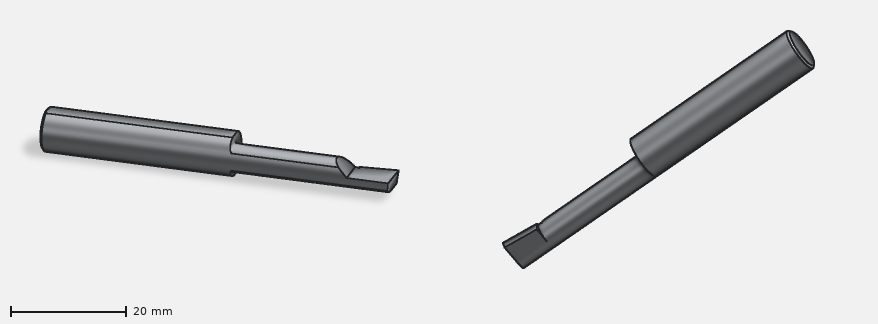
import math

import cadquery as cq

shank_diameter = 7.93
shank_radius = shank_diameter / 2
shank_length = 34.3
shank_chamfer = 0.4
flat_height = 3.685

total_length = 63.5
neck_radius = 2.54
neck_back = 0.87
neck_center_y = neck_back - neck_radius
root_fillet = 0.6

rake_height = 0.0
rake_start = 55.85
ramp_angle = 45.0
head_start = 56.6
head_root_y = 1.17
tip_y = 1.82
end_lead_angle = 1.5
end_relief_angle = 8.0


def round_bar(radius, center_y, start, end):
    """Cylinder along X from start to end, with its axis at z = 0."""
    plane = cq.Workplane("YZ", origin=(start, center_y, 0))
    return plane.circle(radius).extrude(end - start)


def make_shank():
    bar = round_bar(shank_radius, 0, 0, shank_length).faces("<X").chamfer(shank_chamfer)
    flat_cut = (
        cq.Workplane("XY", origin=(0, 0, flat_height))
        .rect(2 * shank_length, shank_diameter)
        .extrude(shank_radius)
    )
    return bar.cut(flat_cut)


def make_neck():
    """Neck bar with a concave fillet flaring out to the shank's end face."""
    root_x = shank_length
    flare_radius = neck_radius + root_fillet
    bend = root_fillet * (1 - math.sqrt(0.5))
    profile = (
        cq.Workplane("XY", origin=(0, neck_center_y, 0))
        .moveTo(root_x, 0)
        .lineTo(root_x, flare_radius)
        .threePointArc((root_x + bend, neck_radius + bend), (root_x + root_fillet, neck_radius))
        .lineTo(total_length, neck_radius)
        .lineTo(total_length, 0)
        .close()
    )
    neck = profile.revolve(360, (0, 0, 0), (1, 0, 0))
    return neck.intersect(round_bar(shank_radius, 0, shank_length, total_length))


def make_rake_cut():
    """Space above the rake face, bounded by the ramp up to the neck's top."""
    ramp_length = shank_radius / math.tan(math.radians(ramp_angle))
    return (
        cq.Workplane("XZ")
        .moveTo(rake_start, rake_height)
        .lineTo(total_length, rake_height)
        .lineTo(total_length, rake_height + shank_radius)
        .lineTo(rake_start - ramp_length, rake_height + shank_radius)
        .close()
        .extrude(shank_radius, both=True)
    )


def make_head():
    """Wedge that widens towards +Y, out to the cutting tip."""
    return (
        cq.Workplane("XY", origin=(0, 0, rake_height))
        .moveTo(head_start, neck_center_y)
        .lineTo(head_start, head_root_y)
        .lineTo(total_length, tip_y)
        .lineTo(total_length, neck_center_y)
        .close()
        .extrude(-neck_radius)
    )


def make_end_trim():
    """Space beyond the end face, which leans back below and in front of the tip."""
    cutter_width = 4 * shank_diameter
    cutter = cq.Workplane("XY").box(
        shank_diameter, cutter_width, cutter_width, centered=(False, True, True)
    )
    cutter = cutter.rotate((0, 0, 0), (0, 1, 0), end_relief_angle)
    cutter = cutter.rotate((0, 0, 0), (0, 0, 1), -end_lead_angle)
    return cutter.translate((total_length, tip_y, rake_height))


blade = make_neck().cut(make_rake_cut()).union(make_head()).cut(make_end_trim())
result = make_shank().union(blade)